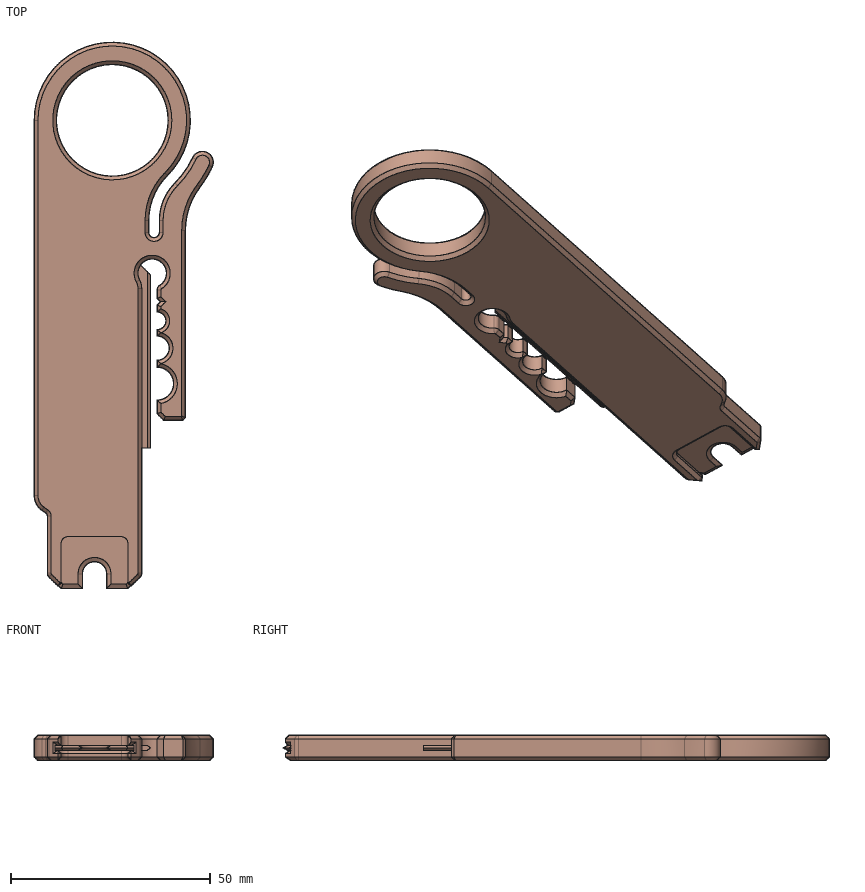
import cadquery as cq
import math

thickness = 6.4
edge_chamfer = 1.0
half_thickness = thickness / 2

ring_radius = 19.5
ring_hole_radius = 14.0

overall_length = 136.6
tip_y = ring_radius - overall_length
blade_overhang = 0.5
end_y = tip_y + blade_overhang
handle_right_x = 7.4
end_left_x = -16.3
end_corner_cut = 2.7
end_corner_radius = 1.4
end_centre_x = (end_left_x + handle_right_x) / 2

step_top_y = -96.2
step_angle = 55.0
step_outer_radius = 4.5
step_inner_radius = 1.0
step_bottom_y = step_top_y - (end_left_x + ring_radius) / math.tan(math.radians(step_angle))

slot_width = 2.6
slot_left_x = 9.2
slot_right_x = slot_left_x + slot_width
slot_end_y = -28.0
neck_angle = -45.0
neck_cosine = math.cos(math.radians(neck_angle))
bend_radius = (ring_radius * neck_cosine - slot_left_x) / (1 - neck_cosine)
bend_centre = (slot_left_x + bend_radius, -(slot_left_x + bend_radius))

arm_left_x = 11.2
arm_right_x = 18.3
arm_end_y = -75.0
arm_inner_corner_cut = 1.6
arm_outer_corner_cut = 0.7
tab_right_x = 25.3
tab_half_width = 2.7
tab_inner_radius = ring_radius + slot_width
tab_middle_radius = tab_inner_radius + tab_half_width
tab_outer_radius = tab_inner_radius + 2 * tab_half_width
tab_angle = -math.degrees(math.acos((tab_right_x - tab_half_width) / tab_middle_radius))
flank_end_y = -27.6
flank_radius = (arm_right_x**2 + flank_end_y**2 - tab_outer_radius**2) / (2 * (tab_outer_radius - arm_right_x))
flank_centre = (arm_right_x + flank_radius, flank_end_y)
flank_angle = math.degrees(math.atan2(flank_centre[1], flank_centre[0]))

root_x = 10.0
root_y = -38.3
root_radius = 3.5
handle_blend_radius = 4.5
arm_blend_radius = 1.4

round_notches = [(-50.1, 2.2), (-57.0, 3.0), (-65.9, 4.1)]
vee_notch_y = -45.4
vee_notch_depth = 0.8

blade_thickness = 1.2
half_blade = blade_thickness / 2

strip_edge_x = 9.5
strip_bevel = 0.8
strip_inlet = 2.7
strip_top_y = -38.7
strip_bottom_y = -82.0

punch_half_width = 9.8
punch_bevel = 1.1
punch_back_y = -101.4
punch_corner_cut = 1.5
punch_notch_radius = 3.0
punch_notch_y = -113.4
punch_overrun = 6.8
slot_mouth_chamfer = 0.8

window_width = 16.7
window_top_y = -104.1
window_corner_radius = 1.6
window_mouth_chamfer = 0.8
window_overrun = 6.8


def polar(radius, angle, centre=(0, 0)):
    """Point at a radius and an angle in degrees about a centre."""
    turn = math.radians(angle)
    return (centre[0] + radius * math.cos(turn), centre[1] + radius * math.sin(turn))


def block(x_low, x_high, y_low, y_high, z_low, z_high):
    """Box between two opposite corners."""
    size = (x_high - x_low, y_high - y_low, z_high - z_low)
    return cq.Workplane().box(*size, centered=False).translate((x_low, y_low, z_low))


def vertical_edge(x, y):
    """Selector of the upright edge through a point of the outline."""
    return cq.selectors.NearestToPointSelector((x, y, 0))


def plate():
    """Plate with ring, curved slot, finger tab, arm and stepped end."""
    bend_outer_radius = bend_radius - slot_width
    bend_start = 180 + neck_angle
    bend_middle = 180 + neck_angle / 2
    outline = (
        cq.Workplane("XY", origin=(0, 0, -half_thickness))
        .moveTo(-ring_radius, 0)
        .threePointArc((0, ring_radius), polar(ring_radius, neck_angle))
        .threePointArc(polar(bend_radius, bend_middle, bend_centre), (slot_left_x, bend_centre[1]))
        .lineTo(slot_left_x, slot_end_y)
        .threePointArc(
            (slot_left_x + slot_width / 2, slot_end_y - slot_width / 2), (slot_right_x, slot_end_y)
        )
        .lineTo(slot_right_x, bend_centre[1])
        .threePointArc(
            polar(bend_outer_radius, bend_middle, bend_centre),
            polar(bend_outer_radius, bend_start, bend_centre),
        )
        .threePointArc(
            polar(tab_inner_radius, (neck_angle + tab_angle) / 2), polar(tab_inner_radius, tab_angle)
        )
        .threePointArc(
            polar(tab_half_width, tab_angle + 90, polar(tab_middle_radius, tab_angle)),
            polar(tab_outer_radius, tab_angle),
        )
        .threePointArc(
            polar(tab_outer_radius, (flank_angle + tab_angle) / 2), polar(tab_outer_radius, flank_angle)
        )
        .threePointArc(
            polar(flank_radius, 180 + flank_angle / 2, flank_centre),
            (arm_right_x, flank_end_y),
        )
        .lineTo(arm_right_x, arm_end_y)
        .lineTo(arm_left_x, arm_end_y)
        .lineTo(arm_left_x, root_y)
        .lineTo(handle_right_x, root_y)
        .lineTo(handle_right_x, end_y)
        .lineTo(end_left_x, end_y)
        .lineTo(end_left_x, step_bottom_y)
        .lineTo(-ring_radius, step_top_y)
        .close()
        .extrude(thickness)
    )
    holes = (
        cq.Workplane("XY", origin=(0, 0, -half_thickness))
        .circle(ring_hole_radius)
        .moveTo(root_x, root_y)
        .circle(root_radius)
        .extrude(thickness)
    )
    return outline.cut(holes)


def shape_corners(body):
    """Round or cut the upright corners of the plate."""
    for wall_x, blend_radius in ((handle_right_x, handle_blend_radius), (arm_left_x, arm_blend_radius)):
        root_corner_y = root_y - math.sqrt(root_radius**2 - (wall_x - root_x) ** 2)
        body = body.edges(vertical_edge(wall_x, root_corner_y)).fillet(blend_radius)
    body = body.edges(vertical_edge(-ring_radius, step_top_y)).fillet(step_outer_radius)
    body = body.edges(vertical_edge(end_left_x, step_bottom_y)).fillet(step_inner_radius)
    body = body.edges(vertical_edge(arm_left_x, arm_end_y)).chamfer(arm_inner_corner_cut)
    body = body.edges(vertical_edge(arm_right_x, arm_end_y)).chamfer(arm_outer_corner_cut)
    for corner_x in (end_left_x, handle_right_x):
        body = body.edges(vertical_edge(corner_x, end_y)).chamfer(end_corner_cut)
        side_corner = vertical_edge(corner_x, end_y + end_corner_cut)
        body = body.edges(side_corner).fillet(end_corner_radius)
    return body


def round_notch(y, radius):
    """Half-round cutter for a cable notch in the arm, flared at both faces of the plate."""
    rim_radius = radius + edge_chamfer
    straight_half = half_thickness - edge_chamfer
    return (
        cq.Workplane("YZ")
        .polyline(
            [
                (0, -half_thickness),
                (rim_radius, -half_thickness),
                (radius, -straight_half),
                (radius, straight_half),
                (rim_radius, half_thickness),
                (0, half_thickness),
            ]
        )
        .close()
        .revolve(180, (0, 0), (0, -1))
        .translate((arm_left_x, y, 0))
    )


def vee_notch():
    """Cutter for the square-cornered V notch, flared at both faces of the plate."""
    side = 2 * vee_notch_depth / math.sqrt(2)
    rim_side = side + 2 * edge_chamfer
    cutter = cq.Workplane("XY").rect(side, side).extrude(half_thickness, both=True)
    flare = (
        cq.Workplane("XY", origin=(0, 0, half_thickness))
        .rect(rim_side, rim_side)
        .workplane(offset=-edge_chamfer)
        .rect(side, side)
        .loft()
    )
    cutter = cutter.union(flare).union(flare.mirror("XY"))
    return cutter.rotate((0, 0, 0), (0, 0, 1), 45).translate((arm_left_x, vee_notch_y, 0))


def window(margin, height, z_low, taper=0):
    """Round-cornered window with a flared mouth at the handle's end, widened all round by a margin."""
    half_width = window_width / 2 + margin
    corner_radius = window_corner_radius + margin
    top_y = window_top_y + margin
    flare_y = end_y + window_mouth_chamfer + margin * (math.sqrt(2) - 1)
    outer_y = flare_y - window_overrun
    outer_half_width = half_width + window_overrun
    arc_inset = corner_radius * (1 - math.sqrt(0.5))
    return (
        cq.Workplane("XY", origin=(end_centre_x, 0, z_low))
        .moveTo(-outer_half_width, outer_y)
        .lineTo(-half_width, flare_y)
        .lineTo(-half_width, top_y - corner_radius)
        .threePointArc((arc_inset - half_width, top_y - arc_inset), (corner_radius - half_width, top_y))
        .lineTo(half_width - corner_radius, top_y)
        .threePointArc((half_width - arc_inset, top_y - arc_inset), (half_width, top_y - corner_radius))
        .lineTo(half_width, flare_y)
        .lineTo(outer_half_width, outer_y)
        .close()
        .extrude(height, taper=taper)
    )


def flared_window():
    """Through window, flared at the bottom face and where it meets the floor of the blade slot."""
    opening = window(0, thickness, -half_thickness)
    bottom_flare = window(edge_chamfer, edge_chamfer, -half_thickness, 45)
    floor_flare = window(slot_mouth_chamfer, -slot_mouth_chamfer, -half_blade, 45)
    return opening.union(bottom_flare).union(floor_flare)


def punch_slot():
    """Slot across the end of the handle for the punch-down blade."""
    return block(
        end_centre_x - punch_half_width,
        end_centre_x + punch_half_width,
        tip_y,
        punch_back_y,
        -half_blade,
        half_blade,
    )


def slot_mouth(side):
    """Flare of the punch-down slot where it opens on a cut corner; side is -1 for -X, 1 for +X."""
    corner_half_width = (handle_right_x - end_left_x) / 2
    slot_side_y = end_y + end_corner_cut - (corner_half_width - punch_half_width)
    mouth_length = 2 * (slot_mouth_chamfer + (slot_side_y - end_y) * math.sqrt(2))
    face = cq.Plane(
        origin=(end_centre_x + side * (corner_half_width - end_corner_cut), end_y, 0),
        xDir=(0, 0, 1),
        normal=(-side, 1, 0),
    )
    return (
        cq.Workplane(face)
        .rect(blade_thickness + 2 * slot_mouth_chamfer, mouth_length)
        .extrude(slot_mouth_chamfer, taper=45)
    )


def make_handle(strip_blade):
    """Handle with ring, stripper arm and the seats of both blades."""
    body = shape_corners(plate())
    body = body.faces("<Z or >Z").edges().chamfer(edge_chamfer)
    body = body.cut(punch_slot()).cut(flared_window())
    for side in (-1, 1):
        body = body.cut(slot_mouth(side))
    for y, radius in round_notches:
        body = body.cut(round_notch(y, radius))
    return body.cut(vee_notch()).cut(strip_blade)


def make_strip_blade():
    """Straight blade along the stripping gap, sharpened on its +X edge, slanted at its top end."""
    inner_x = handle_right_x - strip_inlet
    shoulder_x = strip_edge_x - strip_bevel
    slant_rise = strip_edge_x - inner_x
    bar = (
        cq.Workplane("XZ", origin=(0, strip_bottom_y, 0))
        .polyline(
            [
                (inner_x, -half_blade),
                (shoulder_x, -half_blade),
                (strip_edge_x, 0),
                (shoulder_x, half_blade),
                (inner_x, half_blade),
            ]
        )
        .close()
        .extrude(strip_bottom_y - strip_top_y - slant_rise)
    )
    corner = (
        cq.Workplane("XY", origin=(0, 0, -half_blade))
        .moveTo(strip_edge_x, strip_top_y)
        .lineTo(strip_edge_x, strip_top_y + slant_rise)
        .lineTo(inner_x, strip_top_y + slant_rise)
        .close()
        .extrude(blade_thickness)
    )
    return bar.cut(corner)


def make_punch_blade():
    """Flat blade across the end, sharpened along its front, its cut corners and its notch.

    The bevelled outline overruns the slot at the sides and back, and is then trimmed to it.
    """
    wide = punch_half_width + punch_overrun
    corner_y = tip_y + punch_corner_cut + punch_overrun
    front_half_width = punch_half_width - punch_corner_cut
    bevel_angle = math.degrees(math.atan2(punch_bevel, half_blade))
    upper = (
        cq.Workplane("XY", origin=(end_centre_x, 0, 0))
        .moveTo(-wide, punch_back_y + punch_overrun)
        .lineTo(-wide, corner_y)
        .lineTo(-front_half_width, tip_y)
        .lineTo(-punch_notch_radius, tip_y)
        .lineTo(-punch_notch_radius, punch_notch_y)
        .threePointArc((0, punch_notch_y + punch_notch_radius), (punch_notch_radius, punch_notch_y))
        .lineTo(punch_notch_radius, tip_y)
        .lineTo(front_half_width, tip_y)
        .lineTo(wide, corner_y)
        .lineTo(wide, punch_back_y + punch_overrun)
        .close()
        .extrude(half_blade, taper=bevel_angle)
    )
    return upper.union(upper.mirror("XY")).intersect(punch_slot())


strip_blade = make_strip_blade()
punch_blade = make_punch_blade()
handle = make_handle(strip_blade)

result = cq.Compound.makeCompound([handle.val(), strip_blade.val(), punch_blade.val()])